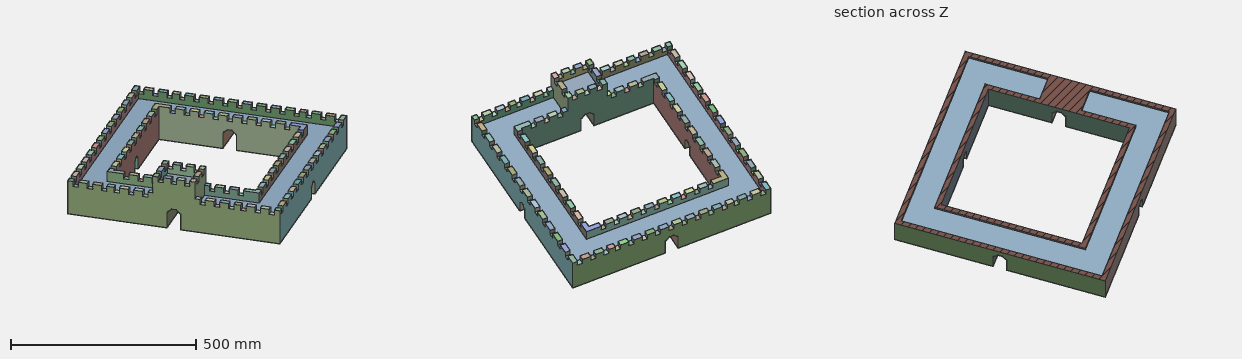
import cadquery as cq

castle_side = 600.0
wall_width = castle_side / 6
wall_height = wall_width
castle_edge = castle_side / 2
courtyard_edge = castle_edge - wall_width

parapet = 15.0
parapet_height = 30.0
gap = 15.0

tower_width = 120.0
tower_depth = wall_width
tower_height = 150.0
tower_y = -castle_edge + tower_depth / 2

main_gate_width = 38.5
main_gate_height = 59.0
main_gate_crown = 13.0
main_gate_spring = 46.0
side_gate_width = 29.0
side_gate_height = 44.0
side_gate_crown = 8.5
side_gate_spring = 34.0

side_start = -276.5
side_pitch = 45.0
side_count = 13
side_corner_count = 2
middle_start = -161.5
middle_span = 324.0
middle_count = 9
middle_pitch = middle_span / (middle_count - 1)
corner_pitch = 40.0
corner_count = 3


def evenly_spaced(first, pitch, count):
    return [first + i * pitch for i in range(count)]


def block(x_size, y_size, bottom, top, y=0):
    height = top - bottom
    return cq.Workplane("XY").box(x_size, y_size, height).translate((0, y, bottom + height / 2))


def crenel(x, y, top):
    """Square notch through a parapet whose merlons end at the given top."""
    return cq.Workplane("XY").box(gap, parapet, 2 * gap).translate((x, y, top))


def cut_crenels(body, positions, top):
    notches = cq.Workplane("XY")
    for x, y in positions:
        notches.add(crenel(x, y, top))
    return body.cut(notches.combine())


def gate(plane, width, height, crown, spring):
    """Passage right through the castle under a flat crown and two sloping facets."""
    return (
        cq.Workplane(plane)
        .moveTo(-width / 2, 0)
        .lineTo(-width / 2, spring)
        .lineTo(-crown / 2, height)
        .lineTo(crown / 2, height)
        .lineTo(width / 2, spring)
        .lineTo(width / 2, 0)
        .close()
        .extrude(castle_side, both=True)
    )


def wall_ring():
    """Four walls around the courtyard with a sunken walk between the parapets."""
    inner_side = 2 * courtyard_edge
    walk_floor = wall_height - parapet_height
    walk_outer = castle_side - 2 * parapet
    walk_inner = inner_side + 2 * parapet
    walk = block(walk_outer, walk_outer, walk_floor, wall_height)
    walk = walk.cut(block(walk_inner, walk_inner, walk_floor, wall_height))
    ring = block(castle_side, castle_side, 0, wall_height).cut(walk)
    return ring.cut(block(inner_side, inner_side, 0, wall_height))


def wall_crenels():
    """Crenel centres on the outer and inner parapets of all four walls."""
    outer_line = castle_edge - parapet / 2
    inner_line = courtyard_edge + parapet / 2
    corner_start = -castle_edge + parapet + gap / 2

    middle = evenly_spaced(middle_start, middle_pitch, middle_count)
    corner = evenly_spaced(corner_start, corner_pitch, corner_count)
    outer_row = corner + middle + [-x for x in corner]

    side_row = evenly_spaced(side_start, side_pitch, side_count)
    inner_side_row = side_row[side_corner_count:-side_corner_count]

    positions = []
    for side in (-1, 1):
        positions += [(x, side * outer_line) for x in outer_row]
        positions += [(x, side * inner_line) for x in middle]
        positions += [(side * outer_line, y) for y in side_row]
        positions += [(side * inner_line, y) for y in inner_side_row]
    return positions


def tower_crenels():
    """Crenel centres: three on the front and back, two on each side."""
    x_line = tower_width / 2 - parapet / 2
    y_line = tower_depth / 2 - parapet / 2
    front_pitch = x_line - parapet / 2 - gap / 2
    positions = []
    for side in (-1, 1):
        positions += [(x, tower_y + side * y_line) for x in (-front_pitch, 0, front_pitch)]
        positions += [(side * x_line, tower_y + y) for y in (-side_pitch / 2, side_pitch / 2)]
    return positions


castle = cut_crenels(wall_ring(), wall_crenels(), wall_height)

tower = block(tower_width, tower_depth, 0, tower_height, tower_y)
tower_roof = block(
    tower_width - 2 * parapet,
    tower_depth - 2 * parapet,
    tower_height - parapet_height,
    tower_height,
    tower_y,
)
tower = cut_crenels(tower.cut(tower_roof), tower_crenels(), tower_height)
castle = castle.union(tower)

main_gate = gate("XZ", main_gate_width, main_gate_height, main_gate_crown, main_gate_spring)
side_gate = gate("YZ", side_gate_width, side_gate_height, side_gate_crown, side_gate_spring)
result = castle.cut(main_gate).cut(side_gate)